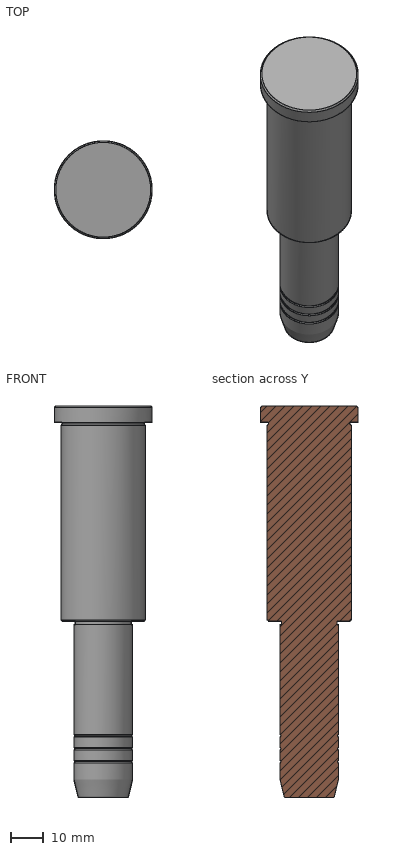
import cadquery as cq
import math

total_length = 120.0
head_height = 5.0
body_bottom = 54.0
taper_height = 5.5

head_radius = 15.0
body_radius = 13.0
pin_radius = 9.0
tip_radius = 7.7

head_chamfer = 0.5
body_chamfer = 0.5
tip_fillet = 0.5
relief_width = 1.0
relief_depth = 0.4

head_groove_radius = 0.5

pin_groove_depth = 0.4
pin_groove_width = 0.7
pin_groove_count = 3
pin_groove_pitch = 4.0
lowest_pin_groove = 11.0

head_bottom = total_length - head_height


def cylinder(radius, bottom, top):
    """Cylinder on the Z axis between two heights."""
    return cq.Workplane("XY").workplane(offset=bottom).circle(radius).extrude(top - bottom)


def revolve_profile(points):
    """Solid of revolution about Z from (radius, height) points."""
    return cq.Workplane("XZ").polyline(points).close().revolve(360, (0, 0, 0), (0, 1, 0))


def v_groove(radius, center):
    """Triangular ring to remove from a cylinder of the given radius."""
    return revolve_profile([
        (radius, center - pin_groove_width / 2),
        (radius - pin_groove_depth, center),
        (radius, center + pin_groove_width / 2),
    ])


head = cylinder(head_radius, head_bottom, total_length).faces(">Z").edges().chamfer(head_chamfer)

body = cylinder(body_radius, body_bottom, head_bottom).faces("<Z").edges().chamfer(body_chamfer)
arc_offset = head_groove_radius * math.sqrt(0.5)
groove_middle = head_bottom - head_groove_radius
head_groove = (
    cq.Workplane("XZ")
    .moveTo(body_radius, head_bottom)
    .threePointArc(
        (body_radius - arc_offset, groove_middle + arc_offset),
        (body_radius - head_groove_radius, groove_middle),
    )
    .lineTo(body_radius, groove_middle - head_groove_radius)
    .close()
    .revolve(360, (0, 0, 0), (0, 1, 0))
)
body = body.cut(head_groove)

neck_bottom = body_bottom - relief_width
neck_radius = pin_radius - relief_depth
pin = revolve_profile([
    (0, 0),
    (tip_radius, 0),
    (pin_radius, taper_height),
    (pin_radius, neck_bottom),
    (neck_radius, neck_bottom),
    (neck_radius, body_bottom),
    (0, body_bottom),
])
pin = pin.faces("<Z").edges().fillet(tip_fillet)

for index in range(pin_groove_count):
    groove_center = lowest_pin_groove + index * pin_groove_pitch
    pin = pin.cut(v_groove(pin_radius, groove_center))

result = pin.union(body).union(head)